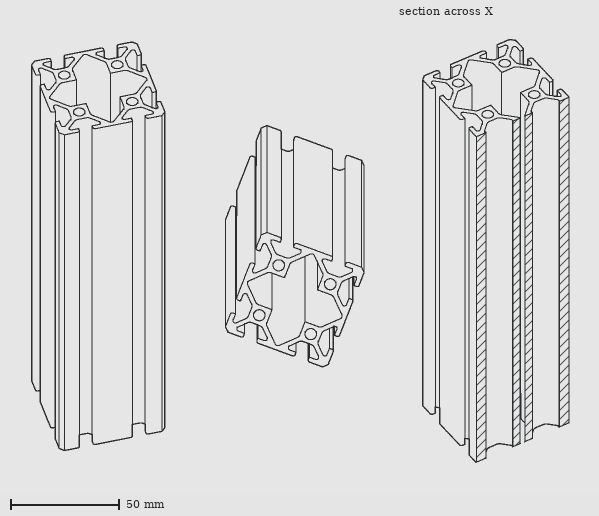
import cadquery as cq

length = 203.2
side = 50.8
slot_opening = 6.5
slot_inner_width = 14.8
lip_thickness = 2.2
core_side = 9.1
bore_diameter = 5.3
web_offset = 1.52
corner_chamfer = 2.0
lip_edge_radius = 1.0
slot_end_radius = 1.0
cavity_apex_radius = 1.5
web_root_radius = 2.5

slot_pitch = side / 2
cell_center = slot_pitch / 2
core_half = core_side / 2
core_flat_half = core_half - web_offset
opening_half = slot_opening / 2


def extrude_outline(points):
    return cq.Workplane("XY").polyline(points).close().extrude(length)


def mirror_in_y_axis(half_points):
    """Complete an outline that is symmetric about the Y axis from its right half."""
    return half_points + [(-x, y) for x, y in reversed(half_points)]


def four_turns(points):
    """Repeat points around the origin in four quarter turns, counterclockwise."""
    turned = []
    for _ in range(4):
        turned += points
        points = [(-y, x) for x, y in points]
    return turned


def round_edges(body, points, radius):
    """Fillet the vertical edges of a body that pass through the given XY points."""
    for x, y in points:
        edge = cq.selectors.NearestToPointSelector((x, y, length / 2))
        body = body.edges("|Z").edges(edge).fillet(radius)
    return body


def make_slot():
    """T-slot cutter beside a core at the origin, opening toward +Y."""
    inner_half = slot_inner_width / 2
    lip_inner = cell_center - lip_thickness
    web_root = (core_flat_half, core_half)
    web_end = (inner_half, inner_half + web_offset)
    lip_root = (inner_half, lip_inner)
    mouth = [(opening_half, lip_inner), (opening_half, cell_center)]
    slot = extrude_outline(mirror_in_y_axis([web_root, web_end, lip_root] + mouth))
    slot = round_edges(slot, mirror_in_y_axis([web_root]), web_root_radius)
    return round_edges(slot, mirror_in_y_axis([web_end, lip_root]), slot_end_radius)


def make_cavity():
    """Central star-shaped cavity bounded by the cores, webs and outer walls."""
    core_edge = cell_center - core_half
    web_start = cell_center + core_flat_half
    apex = web_start + core_edge
    apexes = four_turns([(apex, 0)])
    web_roots = four_turns([(web_start, core_edge), (core_edge, web_start)])
    outline = four_turns([(apex, 0), (web_start, core_edge), (core_edge, core_edge), (core_edge, web_start)])
    cavity = extrude_outline(outline)
    cavity = round_edges(cavity, web_roots, web_root_radius)
    return round_edges(cavity, apexes, cavity_apex_radius)


bar = cq.Workplane("XY").rect(side, side).extrude(length)
bar = bar.edges("|Z").chamfer(corner_chamfer)

bar = bar.cut(make_cavity())

slot = make_slot()
for quarter_turn in range(4):
    for slot_x in (-cell_center, cell_center):
        placed_slot = slot.translate((slot_x, cell_center, 0))
        bar = bar.cut(placed_slot.rotate((0, 0, 0), (0, 0, 1), 90 * quarter_turn))

lip_edge_places = [
    sign * cell_center + edge for sign in (-1, 1) for edge in (-opening_half, opening_half)
]
lip_edges = four_turns([(side / 2, place) for place in lip_edge_places])
bar = round_edges(bar, lip_edges, lip_edge_radius)

bores = (
    cq.Workplane("XY")
    .rect(slot_pitch, slot_pitch, forConstruction=True)
    .vertices()
    .circle(bore_diameter / 2)
    .extrude(length)
)
result = bar.cut(bores)